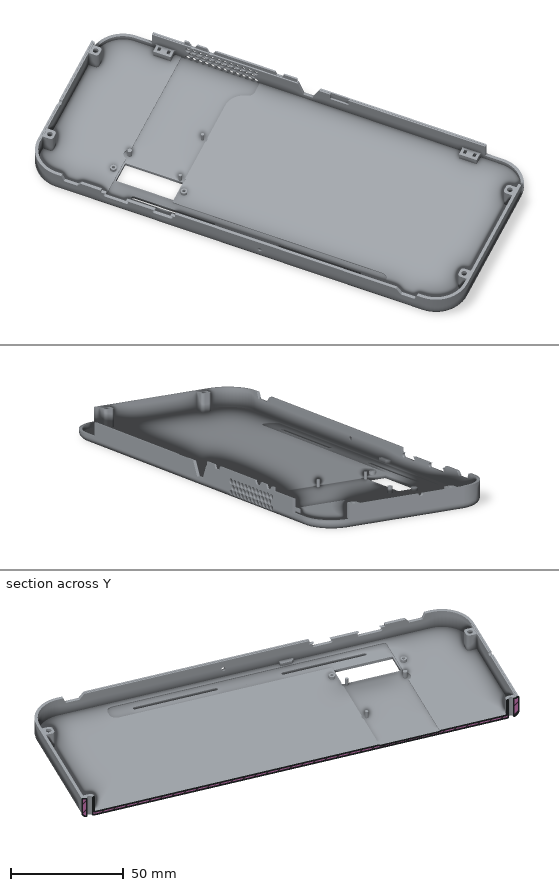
import cadquery as cq
import math

length = 207.0
width = 90.9
rim_z = 10.8
tab_top_z = 12.6
corner_radius = 15.1
bottom_radius = 3.1
wall = 1.5
floor_z = 1.9

half_length = length / 2
half_width = width / 2
front_y = -half_width
rear_y = half_width

low_rim_z = 4.1
rear_wall_half_length = 80.3
end_wall_rear_y = 30.5

rim_step_depth = 0.2
rim_lip = 0.8
end_rim_step_front_y = -30.5

tab_spans = [
    (-65.0, -61.9, -65.0, -63.1),
    (-59.8, -53.5, -58.8, -54.5),
    (-51.0, -20.7, -49.9, -21.3),
    (-17.8, -10.8, -17.0, -10.8),
]
tab_notch_centers = (-60.9, -52.2)
tab_notch_width = 1.9
tab_notch_depth = 0.6

vent_columns = 12
vent_rows = 3
vent_pitch = 2.98
vent_row_pitch = vent_pitch * math.sqrt(3) / 2
vent_diameter = 2.5
vent_first_x = -63.1
vent_top_row_z = 7.9

connector_floor = (-7.5, -3.0)
connector_top = (-10.1, 0.5)
connector_floor_z = 4.1
rear_recess_left_x = 5.5
rear_recess_right_x = 14.3
rear_recess_bottom_z = 7.5
rear_recess_depth = 0.8

end_notch_diameter = 2.5
end_notch_y = -7.2

notch_floor_z = 7.9
notch_floor = (78.0, 84.5)
notch_top = (75.5, 85.7)
rim_step_left_x = -77.5
rim_step_middle_x = -66.7
rim_step_right_x = -30.8
rim_step_high_z = 10.0
rim_step_low_z = 8.7
button_size = 2.03
button_spans = [(-65.5, -53.5), (-41.8, -32.0)]
front_hole_diameter = 2.03
front_hole_x = 10.0
front_hole_z = 6.0

recess_depth = 0.5
recess_left_x = -66.0
recess_right_x = 66.9
recess_middle_x = -37.5
recess_rear_x = -28.4
recess_front_y = -41.5
recess_strip_y = -33.1
recess_bend_y = 26.7
recess_bend_rise = 11.5
recess_bend_small_radius = 3.1
recess_end_radius = 3.3
recess_corner_radius = 1.2

window_left_x = -65.5
window_front_y = -31.5
window_rear_y = -20.7
window_corner_radius = 0.6
floor_slot_length = 40.2
floor_slot_width = 1.6
floor_slot_x = 35.2
floor_slot_y = -37.3

post_x = 99.8
post_ys = (-25.3, 26.0)
post_width = 5.0
post_reach_x = 97.5
post_corner_radius = 1.5
post_top_z = 10.4
post_hole_diameter = 2.5

latch_x = 73.7
latch_width = 8.5
latch_root_radius = 0.8
latch_front_y = 39.7
latch_top_z = 4.8
latch_pocket_offset = 2.3
latch_pocket_size = (1.5, 2.0)
latch_pocket_y = 42.0
latch_pocket_depth = 1.9

round_pin_diameter = 2.03
round_pin_point = (-65.5, -15.7)
round_pin_top_z = 4.8
round_pin_pad_diameter = 5.4
small_pin_diameter = 1.43
small_pin_points = [(-39.3, 5.2), (-39.3, -19.9)]
small_pin_top_z = 5.0
small_pin_pad_diameter = 4.5
screw_boss_diameter = 3.0
screw_boss_hole_diameter = 1.43
screw_boss_points = [(-68.7, -26.3), (-34.8, -26.3)]
screw_boss_top_z = 3.3

stop_left_x = -23.0
stop_right_x = -16.4
stop_depth = 2.0
stop_top_z = 3.3
stop_chamfer = 1.2


def box(x0, x1, y0, y1, z0, z1):
    return cq.Workplane("XY").box(x1 - x0, y1 - y0, z1 - z0, centered=False).translate((x0, y0, z0))


def cylinder(point, diameter, z0, z1):
    return cq.Workplane("XY", origin=(0, 0, z0)).center(*point).circle(diameter / 2).extrude(z1 - z0)


def wall_prism(points, y0, y1):
    """Extrude an X-Z outline from y0 to y1."""
    return cq.Workplane("XZ", origin=(0, y0, 0)).polyline(points).close().extrude(y0 - y1)


def shell():
    outside = (
        cq.Workplane("XY")
        .rect(length, width)
        .extrude(rim_z)
        .edges("|Z")
        .fillet(corner_radius)
        .faces("<Z")
        .edges()
        .fillet(bottom_radius)
    )
    cavity = (
        cq.Workplane("XY", origin=(0, 0, floor_z))
        .rect(length - 2 * wall, width - 2 * wall)
        .extrude(rim_z)
        .edges("|Z")
        .fillet(corner_radius - wall)
    )
    body = outside.cut(cavity)
    for side in (-1, 1):
        corner_x = sorted((side * rear_wall_half_length, side * half_length))
        body = body.cut(box(*corner_x, end_wall_rear_y, rear_y, low_rim_z, rim_z))
    return body


def rear_tabs():
    tabs = cq.Workplane("XY")
    for bottom_left, bottom_right, top_left, top_right in tab_spans:
        outline = [(bottom_left, rim_z), (bottom_right, rim_z), (top_right, tab_top_z), (top_left, tab_top_z)]
        tabs = tabs.add(wall_prism(outline, rear_y - rim_lip, rear_y))
    return tabs.combine()


def rear_cuts():
    inner_y = rear_y - wall
    cuts = cq.Workplane("XY")
    for row in range(vent_rows):
        z = vent_top_row_z - row * vent_row_pitch
        row_x = vent_first_x + vent_pitch / 2 * (row % 2)
        points = [(row_x + column * vent_pitch, z) for column in range(vent_columns - row % 2)]
        holes = cq.Workplane("XZ", origin=(0, rear_y, 0)).pushPoints(points)
        cuts = cuts.add(holes.circle(vent_diameter / 2).extrude(wall))
    for x in tab_notch_centers:
        half = tab_notch_width / 2
        cuts = cuts.add(box(x - half, x + half, inner_y, rear_y, rim_z - tab_notch_depth, rim_z))
    connector = [
        (connector_top[0], rim_z),
        (connector_floor[0], connector_floor_z),
        (connector_floor[1], connector_floor_z),
        (connector_top[1], rim_z),
    ]
    cuts = cuts.add(wall_prism(connector, inner_y, rear_y))
    recess_x = (rear_recess_left_x, rear_recess_right_x)
    cuts = cuts.add(box(*recess_x, inner_y, inner_y + rear_recess_depth, rear_recess_bottom_z, rim_z))
    return cuts.combine()


def rim_steps():
    step_width = wall - rim_lip
    bottom_z = rim_z - rim_step_depth
    rear_x = rear_wall_half_length
    rear = box(-rear_x, rear_x, rear_y - wall, rear_y - rim_lip, bottom_z, rim_z)
    front = box(rim_step_right_x, notch_top[0], front_y + rim_lip, front_y + wall, bottom_z, rim_z)
    steps = rear.union(front)
    for side in (-1, 1):
        end = cq.Workplane("XY").box(step_width, end_wall_rear_y - end_rim_step_front_y, rim_step_depth)
        center_x = side * (half_length - rim_lip - step_width / 2)
        center_y = (end_wall_rear_y + end_rim_step_front_y) / 2
        steps = steps.union(end.translate((center_x, center_y, rim_z - rim_step_depth / 2)))
    return steps


def end_notch():
    return (
        cq.Workplane("YZ", origin=(-half_length, 0, 0))
        .center(end_notch_y, rim_z)
        .circle(end_notch_diameter / 2)
        .extrude(wall)
    )


def front_cuts():
    inner_y = front_y + wall
    cuts = cq.Workplane("XY")
    for side in (-1, 1):
        outline = [
            (side * notch_top[0], rim_z),
            (side * notch_floor[0], notch_floor_z),
            (side * notch_floor[1], notch_floor_z),
            (side * notch_top[1], rim_z),
        ]
        cuts = cuts.add(wall_prism(outline, front_y, inner_y))
    cuts = cuts.add(box(rim_step_left_x, rim_step_middle_x, front_y, inner_y, rim_step_high_z, rim_z))
    cuts = cuts.add(box(rim_step_middle_x, rim_step_right_x, front_y, inner_y, rim_step_low_z, rim_z))
    for left_x, right_x in button_spans:
        button = (
            cq.Workplane("XZ", origin=(0, inner_y, 0))
            .center((left_x + right_x) / 2, rim_step_low_z - button_size / 2)
            .slot2D(right_x - left_x, button_size)
            .extrude(wall)
        )
        cuts = cuts.add(button)
    hole = (
        cq.Workplane("XZ", origin=(0, inner_y, 0))
        .center(front_hole_x, front_hole_z)
        .circle(front_hole_diameter / 2)
        .extrude(wall)
    )
    return cuts.add(hole).combine()


def floor_recess():
    shift = recess_rear_x - recess_middle_x
    turn = 2 * math.atan2(shift, recess_bend_rise)
    big_radius = recess_bend_rise / math.sin(turn) - recess_bend_small_radius

    def on_big_arc(angle):
        return (
            recess_middle_x + big_radius * (1 - math.cos(angle)),
            recess_bend_y + big_radius * math.sin(angle),
        )

    def on_small_arc(angle):
        return (
            recess_rear_x - recess_bend_small_radius * (1 - math.cos(angle)),
            recess_bend_y + recess_bend_rise - recess_bend_small_radius * math.sin(angle),
        )

    bottom_z = floor_z - recess_depth
    inner_rear_y = rear_y - wall
    leg = (
        cq.Workplane("XY", origin=(0, 0, bottom_z))
        .moveTo(recess_left_x, recess_strip_y)
        .lineTo(recess_middle_x, recess_strip_y)
        .lineTo(recess_middle_x, recess_bend_y)
        .threePointArc(on_big_arc(turn / 2), on_big_arc(turn))
        .threePointArc(on_small_arc(turn / 2), on_small_arc(0))
        .lineTo(recess_rear_x, inner_rear_y)
        .lineTo(recess_left_x, inner_rear_y)
        .close()
        .extrude(recess_depth)
    )
    strip = box(recess_left_x, recess_right_x, recess_front_y, recess_strip_y, bottom_z, floor_z)
    strip = strip.edges("|Z and >X").fillet(recess_end_radius)
    strip = strip.edges("|Z and <X and <Y").fillet(recess_corner_radius)
    recess = leg.union(strip)
    recess = recess.union(cylinder(round_pin_point, round_pin_pad_diameter, bottom_z, floor_z))
    for point in small_pin_points:
        recess = recess.union(cylinder(point, small_pin_pad_diameter, bottom_z, floor_z))
    return recess


def floor_openings():
    cuts = box(window_left_x, recess_middle_x, window_front_y, window_rear_y, 0, floor_z)
    cuts = cuts.edges("|Z and >Y").fillet(window_corner_radius)
    slots = (
        cq.Workplane("XY")
        .pushPoints([(-floor_slot_x, floor_slot_y), (floor_slot_x, floor_slot_y)])
        .slot2D(floor_slot_length, floor_slot_width)
        .extrude(floor_z)
    )
    return cuts.union(slots)


def screw_post(side, y):
    half = post_width / 2
    reach = half_length - wall / 2 - post_reach_x
    post = box(0, reach, -half, half, floor_z, post_top_z)
    post = post.edges("|Z and >X").fillet(post_corner_radius)
    post = post.translate((-half_length + wall / 2, 0, 0))
    if side > 0:
        post = post.mirror("YZ")
    return post.translate((0, y, 0))


def latch_block(x):
    half = latch_width / 2
    inner_y = rear_y - wall
    root_y = inner_y - latch_root_radius
    block = box(-half, half, latch_front_y, rear_y - wall / 2, floor_z, latch_top_z)
    for side in (-1, 1):
        root_x = sorted((side * half, side * (half + latch_root_radius)))
        root = box(*root_x, root_y, inner_y, floor_z, latch_top_z)
        hollow_point = (side * (half + latch_root_radius), root_y)
        hollow = cylinder(hollow_point, 2 * latch_root_radius, floor_z, latch_top_z)
        block = block.union(root.cut(hollow))
    pockets = (
        cq.Workplane("XY", origin=(0, 0, latch_top_z))
        .pushPoints([(-latch_pocket_offset, latch_pocket_y), (latch_pocket_offset, latch_pocket_y)])
        .rect(*latch_pocket_size)
        .extrude(-latch_pocket_depth)
    )
    return block.cut(pockets).translate((x, 0, 0))


def floor_pins():
    bottom_z = floor_z - recess_depth
    pins = cylinder(round_pin_point, round_pin_diameter, bottom_z, round_pin_top_z)
    for point in small_pin_points:
        pins = pins.union(cylinder(point, small_pin_diameter, bottom_z, small_pin_top_z))
    for point in screw_boss_points:
        boss = cylinder(point, screw_boss_diameter, floor_z, screw_boss_top_z)
        pins = pins.union(boss.cut(cylinder(point, screw_boss_hole_diameter, floor_z, screw_boss_top_z)))
    return pins


def front_stop():
    inner_y = front_y + wall
    stop = box(stop_left_x, stop_right_x, inner_y, inner_y + stop_depth, floor_z, stop_top_z)
    return stop.edges("|Z and <X and >Y").chamfer(stop_chamfer)


body = shell().cut(floor_recess()).cut(floor_openings())
for side in (-1, 1):
    body = body.union(latch_block(side * latch_x))
    for y in post_ys:
        body = body.union(screw_post(side, y))
        body = body.cut(cylinder((side * post_x, y), post_hole_diameter, 0, post_top_z))
body = body.cut(rim_steps()).cut(end_notch())
body = body.union(rear_tabs()).cut(rear_cuts()).cut(front_cuts())
result = body.union(floor_pins()).union(front_stop())